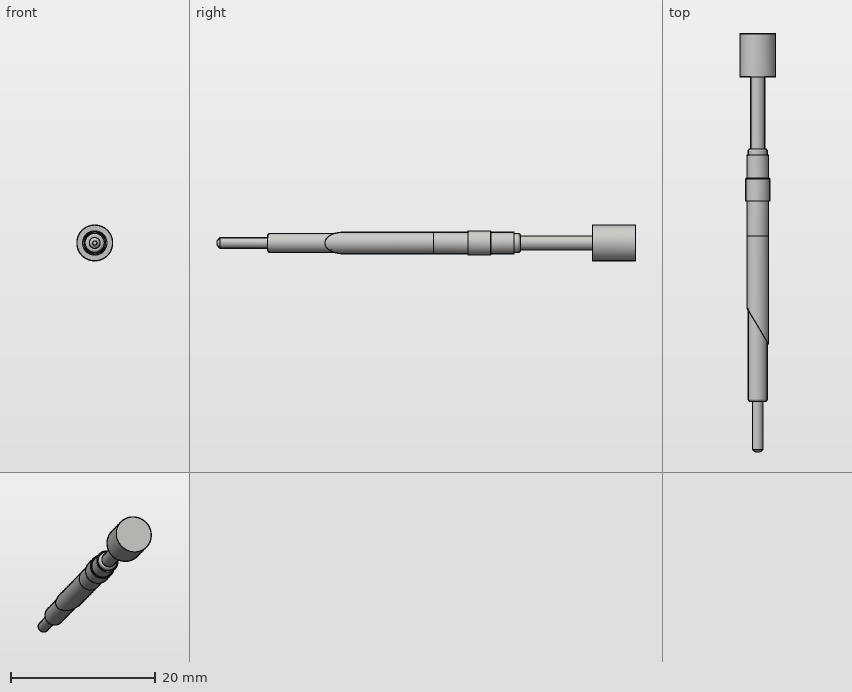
import cadquery as cq

length = 58.0
head_length = 6.0
barrel_start = 15.95
collar_start = 16.8
ring_start = 20.0
ring_end = 23.2
collar_end = 28.0
cut_start = 38.0
cut_end = 43.05
barrel_end = 51.0

head_diameter = 5.0
rod_diameter = 2.0
barrel_diameter = 2.65
sleeve_diameter = 3.0
ring_diameter = 3.35
pin_diameter = 1.5

end_round = 0.35
ring_chamfer = 0.1
tip_length = 0.4
tip_diameter = 0.6

rod_depth = collar_end - barrel_start
head_face = length / 2


def cylinder(diameter, start, end):
    """Cylinder on the Y axis between two stations."""
    plane = cq.Plane(origin=(0, head_face - start, 0), xDir=(1, 0, 0), normal=(0, -1, 0))
    return cq.Workplane(plane).circle(diameter / 2).extrude(end - start)


def make_plunger():
    """Wide contact head on a slim rod."""
    head = cylinder(head_diameter, 0, head_length)
    return head.union(cylinder(rod_diameter, head_length, barrel_start + rod_depth))


def make_barrel():
    """Inner tube, bored for the rod, with a turned tail pin."""
    tube = cylinder(barrel_diameter, barrel_start, barrel_end)
    tube = tube.faces(">Y").edges().fillet(end_round)
    tube = tube.faces("<Y").edges().fillet(end_round)
    tube = tube.cut(cylinder(rod_diameter, barrel_start, barrel_start + rod_depth))
    pin = cylinder(pin_diameter, barrel_end, length)
    pin = pin.faces("<Y").edges().chamfer(tip_length, (pin_diameter - tip_diameter) / 2)
    return tube.union(pin)


def make_collar():
    """Front sleeve with a raised press ring."""
    ring = cylinder(ring_diameter, ring_start, ring_end)
    ring = ring.faces(">Y").edges().chamfer(ring_chamfer)
    collar = cylinder(sleeve_diameter, collar_start, collar_end).union(ring)
    return collar.cut(cylinder(barrel_diameter, collar_start, collar_end))


def make_rear_sleeve():
    """Rear sleeve whose tail end is cut obliquely across X."""
    radius = sleeve_diameter / 2
    wedge = (
        cq.Workplane("XY")
        .moveTo(-radius, head_face - cut_start)
        .lineTo(radius, head_face - cut_end)
        .lineTo(-radius, head_face - cut_end)
        .close()
        .extrude(radius, both=True)
    )
    sleeve = cylinder(sleeve_diameter, collar_end, cut_end).cut(wedge)
    return sleeve.cut(cylinder(barrel_diameter, collar_end, cut_end))


plunger = make_plunger()
barrel = make_barrel()
collar = make_collar()
rear_sleeve = make_rear_sleeve()

result = cq.Compound.makeCompound([plunger.val(), barrel.val(), collar.val(), rear_sleeve.val()])